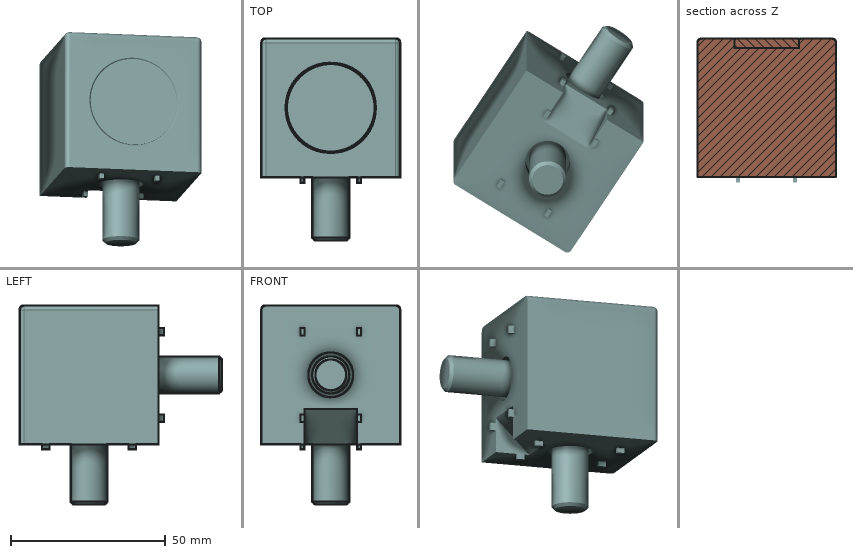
import cadquery as cq


cube_size = 45.0
half_cube = cube_size / 2
edge_radius = 1.5

notch_width = 17.0
notch_leg = 11.4

foot_width = 1.3
foot_height = 2.5
foot_center_x = notch_width / 2 + foot_width / 2
foot_center_y = 14.0

shaft_diameter = 12.0
shaft_chamfer = 1.0
shaft_seat_depth = 12.5
clearance_diameter = 14.5
clearance_depth = 5.0

plug_diameter = 28.4
plug_thickness = 3.0
plug_seat_chamfer = 0.4

front_side = {"outward": (0, -1, 0), "shaft_reach": 20.5, "foot_reach": 1.8}
bottom_side = {"outward": (0, 0, -1), "shaft_reach": 19.5, "foot_reach": 1.6}
shaft_sides = [front_side, bottom_side]


def face_workplane(outward):
    """Workplane at the centre of a cube face, local X along global X, normal pointing out."""
    origin = tuple(half_cube * component for component in outward)
    return cq.Workplane(cq.Plane(origin=origin, xDir=(1, 0, 0), normal=outward))


def opposite(direction):
    return tuple(-component for component in direction)


def make_block():
    """Cube with every edge rounded except those bordering the two shaft faces."""
    block = cq.Workplane("XY").box(cube_size, cube_size, cube_size)
    rounded_edges = block.edges("(>Z and |Y) or (>Y and |Z) or (>Y and >Z)")
    return rounded_edges.fillet(edge_radius)


def make_notch():
    """Triangular prism that bevels the middle of the front bottom edge."""
    inner = notch_leg - half_cube
    return (
        cq.Workplane("YZ")
        .polyline([(-half_cube, -half_cube), (-half_cube, inner), (inner, -half_cube)])
        .close()
        .extrude(notch_width / 2, both=True)
    )


def make_feet(side):
    """Four rectangular feet standing on a shaft face."""
    foot_centers = [(sx * foot_center_x, sy * foot_center_y) for sx in (-1, 1) for sy in (-1, 1)]
    return (
        face_workplane(side["outward"])
        .pushPoints(foot_centers)
        .rect(foot_width, foot_height)
        .extrude(side["foot_reach"])
    )


def make_shaft_bore(side):
    """Close-fitting shaft seat that opens into a wider clearance bore at the face."""
    face = face_workplane(side["outward"])
    seat = face.circle(shaft_diameter / 2).extrude(-shaft_seat_depth)
    clearance = face.circle(clearance_diameter / 2).extrude(-clearance_depth)
    return seat.union(clearance)


def make_plug_seat(outward):
    """Pocket for a cover plug with a chamfered rim."""
    face = face_workplane(outward)
    pocket = face.circle(plug_diameter / 2).extrude(-plug_thickness)
    rim = (
        face.circle(plug_diameter / 2 + plug_seat_chamfer)
        .workplane(offset=-plug_seat_chamfer)
        .circle(plug_diameter / 2)
        .loft()
    )
    return pocket.union(rim)


def make_housing():
    housing = make_block().cut(make_notch())
    for side in shaft_sides:
        housing = housing.union(make_feet(side))
        housing = housing.cut(make_shaft_bore(side))
        housing = housing.cut(make_plug_seat(opposite(side["outward"])))
    return housing


def make_shaft(side):
    """Round shaft seated in the housing, chamfered at its outer end."""
    length = shaft_seat_depth + side["shaft_reach"]
    return (
        face_workplane(side["outward"])
        .workplane(offset=-shaft_seat_depth)
        .circle(shaft_diameter / 2)
        .extrude(length)
        .faces(cq.selectors.DirectionMinMaxSelector(cq.Vector(*side["outward"])))
        .chamfer(shaft_chamfer)
    )


def make_plug(outward):
    """Disc that closes the housing face opposite a shaft, flush with the face."""
    return face_workplane(outward).circle(plug_diameter / 2).extrude(-plug_thickness)


housing = make_housing()
shafts = [make_shaft(side) for side in shaft_sides]
plugs = [make_plug(opposite(side["outward"])) for side in shaft_sides]

result = cq.Compound.makeCompound([body.val() for body in [housing, *shafts, *plugs]])